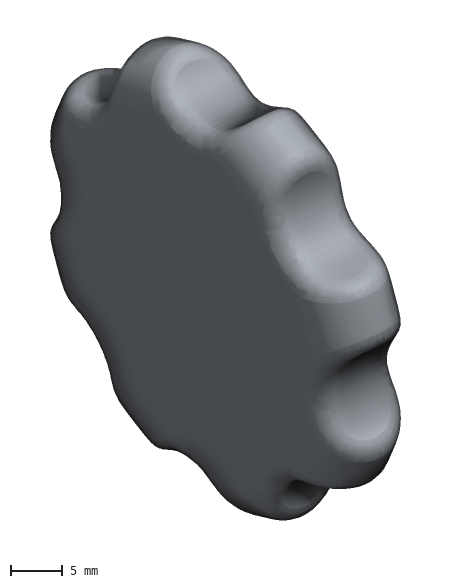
import cadquery as cq
import math

knob_radius = 25.0
knob_thickness = 10.0
dish_radius = 45.0
scallop_count = 8
scallop_radius = 7.0
scallop_center_radius = 27.5
scallop_edge_radius = 2.0

rim_radius = knob_thickness / 2
rim_center_radius = knob_radius - rim_radius
scallop_spacing_angle = 360 / scallop_count

dish_center_distance = dish_radius + rim_radius
dish_tilt = math.asin(rim_center_radius / dish_center_distance)
dish_center_y = dish_center_distance * math.cos(dish_tilt)

axis_start = (0, 0, 0)
axis_end = (0, 1, 0)


def point_on_dish(angle):
    """Point of the dish section at an angle from the knob axis."""
    return (
        dish_radius * math.sin(angle),
        dish_center_y - dish_radius * math.cos(angle),
    )


def make_plain_knob():
    """Round knob about the Y axis: flat -Y face, round rim, dished +Y face."""
    return (
        cq.Workplane("XY")
        .moveTo(0, -rim_radius)
        .lineTo(rim_center_radius, -rim_radius)
        .threePointArc((knob_radius, 0), point_on_dish(dish_tilt))
        .threePointArc(point_on_dish(dish_tilt / 2), point_on_dish(0))
        .close()
        .revolve(360, axis_start, axis_end)
    )


def add_scallop(knob):
    """Cut one finger scallop through the rim at +X and round its edges."""
    cutter = (
        cq.Workplane("XZ")
        .center(scallop_center_radius, 0)
        .circle(scallop_radius)
        .extrude(knob_thickness, both=True)
    )
    scalloped = knob.cut(cutter)
    new_wall = scalloped.faces("%CYLINDER").faces(">X")
    return new_wall.edges("%BSPLINE").fillet(scallop_edge_radius)


def make_scalloped_knob():
    """Add the scallops one at a time at +X, turning the knob one step after each."""
    knob = make_plain_knob()
    for _ in range(scallop_count):
        knob = add_scallop(knob).rotate(axis_start, axis_end, scallop_spacing_angle)
    return knob.solids()


result = make_scalloped_knob()